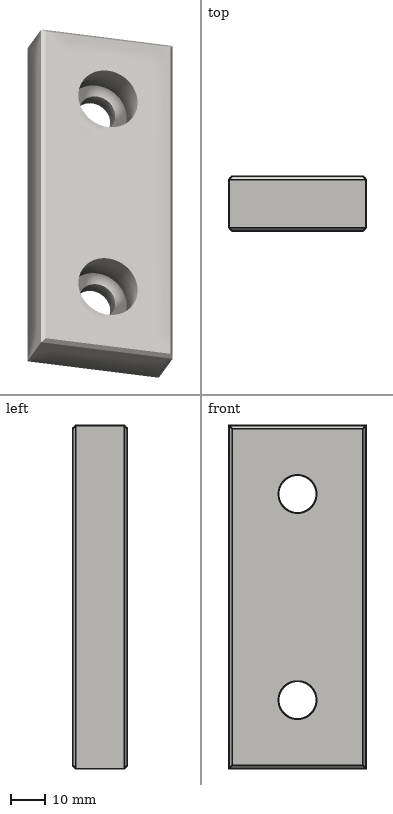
import cadquery as cq

width = 40.0
thickness = 16.0
height = 100.0
edge_chamfer = 1.0

hole_diameter = 11.0
head_diameter = 18.0
head_depth = 11.0
hole_spacing = 60.0


def make_block():
    """Upright block with chamfered edges around its two large faces."""
    block = cq.Workplane("XY").box(width, thickness, height)
    return block.faces("<Y or >Y").edges().chamfer(edge_chamfer)


def cut_screw_holes(block):
    """Cut the two holes from the +Y face, one above the other."""
    return (
        block.faces(">Y")
        .workplane(centerOption="CenterOfBoundBox")
        .rarray(1, hole_spacing, 1, 2)
        .cboreHole(hole_diameter, head_diameter, head_depth)
    )


result = cut_screw_holes(make_block())